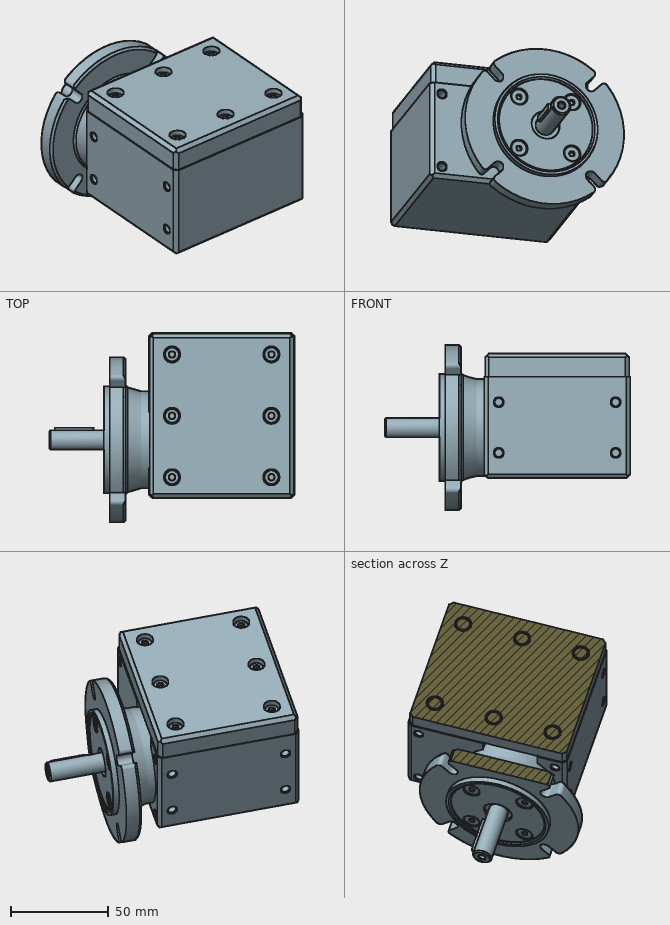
import cadquery as cq
import math


PILOT_FRONT = 28.0
FLANGE_FRONT = 31.0
FLANGE_BACK = 39.25
NECK_COLLAR_END = 40.2
NECK_FLARE_END = 47.0
HOUSING_FRONT = 51.0

MOUTH_TAPER = 45.0

HOUSING_LENGTH = 75.0
HOUSING_WIDTH = 85.0
HOUSING_HEIGHT = 52.0
HOUSING_Y_MIN = -30.0
HOUSING_TOP = HOUSING_HEIGHT / 2
LID_LENGTH = 74.0
LID_WIDTH = 84.0
LID_MID_Y = 12.3
LID_THICKNESS = 12.0
LID_TOP = HOUSING_TOP + LID_THICKNESS
EDGE_CHAMFER = 2.0
HOUSING_MID_X = HOUSING_FRONT + HOUSING_LENGTH / 2
HOUSING_MID_Y = HOUSING_Y_MIN + HOUSING_WIDTH / 2
NOTCH_WIDTH = 29.0
NOTCH_FLOOR = 20.0
NOTCH_DEPTH = 5.0

TAP_DIAMETER = 4.2
TAP_CHAMFER = 0.5
TAP_DEPTH = 10.0
SIDE_TAP_SPACING_X = 60.0
SIDE_TAP_SPACING_Z = 26.0
FRONT_TAP_SPACING_Y = 73.0
FRONT_TAP_SPACING_Z = 40.0

SOCKET_MOUTH_DEPTH = 0.25

LID_SCREW_SPACING_X = 51.0
LID_SCREW_PITCH_Y = 31.5
LID_SCREW_ROWS = 3
LID_BORE_DIAMETER = 8.4
LID_BORE_DEPTH = 6.2
LID_HEAD_DIAMETER = 7.0
LID_HEAD_HEIGHT = 4.0
LID_HEAD_ROUND = 0.5
LID_HEX_SIZE = 3.0
LID_HEX_DEPTH = 2.0

FLANGE_DIAMETER = 85.0
SLOT_COUNT = 4
SLOT_CIRCLE_DIAMETER = 70.0
SLOT_WIDTH = 5.5
SLOT_CORNER_RADIUS = 2.0
FLANGE_BACK_CHAMFER = 1.2
PILOT_DIAMETER = 55.0
COLLAR_RADIUS = 27.9
FLARE_RADIUS = 27.0
NECK_DIAMETER = 50.0

RECESS_MOUTH_DIAMETER = 52.0
RECESS_DIAMETER = 50.0
RECESS_DEPTH = 1.0
RECESS_MOUTH_DEPTH = 0.5
SEAL_BORE_DIAMETER = 15.0
SEAL_BORE_DEPTH = 1.5
FACE_SCREW_CIRCLE_DIAMETER = 40.0
COUNTERSINK_DIAMETER = 9.0
FACE_SCREW_HEAD_DIAMETER = 8.0
FACE_SCREW_HEX_SIZE = 2.5
FACE_SCREW_HEX_DEPTH = 1.5

SHAFT_DIAMETER = 10.0
SHAFT_CHAMFER = 0.75
CENTRE_HOLE_DIAMETER = 3.3
CENTRE_HOLE_MOUTH_DIAMETER = 4.2
CENTRE_HOLE_DEPTH = 10.0
DRILL_TIP_ANGLE = 118.0
KEY_WIDTH = 3.0
KEY_LENGTH = 20.0
KEY_START = 2.75
KEY_TOP = 6.2


def cylinder_x(x_start, x_end, diameter):
    """Cylinder on the shaft axis from x_start to x_end."""
    return (
        cq.Workplane("YZ", origin=(x_start, 0, 0))
        .circle(diameter / 2)
        .extrude(x_end - x_start)
    )


def hexagon_sockets(screws, across_flats, depth):
    """Hexagon recess with a conical mouth at each workplane point; the sign of depth is its direction."""
    corner_diameter = across_flats / math.cos(math.pi / 6)
    mouth_depth = math.copysign(SOCKET_MOUTH_DEPTH, depth)
    sockets = screws.polygon(6, corner_diameter).extrude(depth)
    mouths = screws.circle(corner_diameter / 2).extrude(mouth_depth, taper=MOUTH_TAPER)
    return sockets.union(mouths)


def chamfered_block(length, width, height, origin, outer_end):
    """Block with chamfered upright edges, and chamfers mitred around the end face picked by outer_end."""
    block = cq.Workplane("XY", origin=origin).rect(length, width).extrude(height)
    end_chamfered = block.faces(outer_end).edges().chamfer(EDGE_CHAMFER)
    sides_chamfered = block.edges("|Z").chamfer(EDGE_CHAMFER)
    return end_chamfered.intersect(sides_chamfered)


def make_housing():
    """Housing block, open at the top of its front wall where the neck enters."""
    bottom = (HOUSING_MID_X, HOUSING_MID_Y, -HOUSING_HEIGHT / 2)
    block = chamfered_block(HOUSING_LENGTH, HOUSING_WIDTH, HOUSING_HEIGHT, bottom, "<Z")
    notch = (
        cq.Workplane("XY", origin=(HOUSING_FRONT + NOTCH_DEPTH / 2, 0, NOTCH_FLOOR))
        .rect(NOTCH_DEPTH, NOTCH_WIDTH)
        .extrude(HOUSING_TOP - NOTCH_FLOOR)
    )
    return block.cut(notch)


def make_lid():
    bottom = (HOUSING_MID_X, LID_MID_Y, HOUSING_TOP)
    return chamfered_block(LID_LENGTH, LID_WIDTH, LID_THICKNESS, bottom, ">Z")


def make_lid_screw_recesses():
    """Annular gap and hexagon socket of each cap screw sunk in the lid."""
    def at_screws(height):
        return cq.Workplane("XY", origin=(HOUSING_MID_X, LID_MID_Y, height)).rarray(
            LID_SCREW_SPACING_X, LID_SCREW_PITCH_Y, 2, LID_SCREW_ROWS
        )

    bore_floor = LID_TOP - LID_BORE_DEPTH
    head_top = bore_floor + LID_HEAD_HEIGHT
    bores = at_screws(bore_floor).circle(LID_BORE_DIAMETER / 2).extrude(LID_BORE_DEPTH)
    heads = at_screws(bore_floor).circle(LID_HEAD_DIAMETER / 2).extrude(LID_HEAD_HEIGHT)
    heads = heads.faces(">Z").edges().fillet(LID_HEAD_ROUND)
    sockets = hexagon_sockets(at_screws(head_top), LID_HEX_SIZE, -LID_HEX_DEPTH)
    return bores.cut(heads).union(sockets)


def make_taps(plane, spacing_u, spacing_z):
    """Four blind holes with chamfered mouths, drilled against the normal of the plane."""
    taps = plane.rarray(spacing_u, spacing_z, 2, 2).circle(TAP_DIAMETER / 2).extrude(-TAP_DEPTH)
    mouths = (
        plane.rarray(spacing_u, spacing_z, 2, 2)
        .circle(TAP_DIAMETER / 2 + TAP_CHAMFER)
        .extrude(-TAP_CHAMFER, taper=MOUTH_TAPER)
    )
    return taps.union(mouths)


def make_side_taps():
    plane = cq.Workplane("XZ", origin=(HOUSING_MID_X, HOUSING_Y_MIN, 0))
    return make_taps(plane, SIDE_TAP_SPACING_X, SIDE_TAP_SPACING_Z)


def make_front_taps():
    front = cq.Plane(origin=(HOUSING_FRONT, HOUSING_MID_Y, 0), xDir=(0, -1, 0), normal=(-1, 0, 0))
    return make_taps(cq.Workplane(front), FRONT_TAP_SPACING_Y, FRONT_TAP_SPACING_Z)


def make_flange():
    """Disc with a chamfered back rim and open slots whose corners at the rim are rounded."""
    flange = cylinder_x(FLANGE_FRONT, FLANGE_BACK, FLANGE_DIAMETER)
    flange = flange.faces(">X").edges().chamfer(FLANGE_BACK_CHAMFER)
    slot_inner = SLOT_CIRCLE_DIAMETER / 2
    slot_outer = FLANGE_DIAMETER / 2 + SLOT_WIDTH
    thickness = FLANGE_BACK - FLANGE_FRONT
    slot = (
        cq.Workplane("YZ", origin=(FLANGE_FRONT, 0, 0))
        .center((slot_inner + slot_outer) / 2, 0)
        .slot2D(slot_outer - slot_inner + SLOT_WIDTH, SLOT_WIDTH)
        .extrude(thickness)
    )
    for slot_number in range(SLOT_COUNT):
        angle = (slot_number + 0.5) * 360 / SLOT_COUNT
        flange = flange.cut(slot.rotate((0, 0, 0), (1, 0, 0), angle))
    corner_min_radius = FLANGE_DIAMETER / 2 - SLOT_CORNER_RADIUS
    corner_edges = [
        edge
        for edge in flange.edges("|X").vals()
        if math.hypot(edge.Center().y, edge.Center().z) > corner_min_radius
    ]
    return flange.newObject(corner_edges).fillet(SLOT_CORNER_RADIUS)


def make_neck():
    """Collar behind the flange that flares down to the neck entering the housing."""
    neck_radius = NECK_DIAMETER / 2
    neck_end = HOUSING_FRONT + NOTCH_DEPTH
    return (
        cq.Workplane("XY")
        .moveTo(FLANGE_FRONT, 0)
        .lineTo(FLANGE_FRONT, COLLAR_RADIUS)
        .lineTo(FLANGE_BACK, COLLAR_RADIUS)
        .lineTo(NECK_COLLAR_END, FLARE_RADIUS)
        .lineTo(NECK_FLARE_END, neck_radius)
        .lineTo(neck_end, neck_radius)
        .lineTo(neck_end, 0)
        .close()
        .revolve(360, (0, 0, 0), (1, 0, 0))
    )


def make_pilot():
    """Pilot ring around a recessed face that carries four countersunk screws and the shaft seal bore."""
    recess_floor = PILOT_FRONT + RECESS_DEPTH
    pilot = cylinder_x(PILOT_FRONT, FLANGE_FRONT, PILOT_DIAMETER)
    recess = cylinder_x(PILOT_FRONT, recess_floor, RECESS_DIAMETER)
    recess_mouth = cq.Workplane(obj=cq.Solid.makeCone(
        RECESS_MOUTH_DIAMETER / 2,
        RECESS_DIAMETER / 2,
        RECESS_MOUTH_DEPTH,
        pnt=cq.Vector(PILOT_FRONT, 0, 0),
        dir=cq.Vector(1, 0, 0),
    ))
    seal_bore = cylinder_x(recess_floor, recess_floor + SEAL_BORE_DEPTH, SEAL_BORE_DIAMETER)
    offset = FACE_SCREW_CIRCLE_DIAMETER / 2 * math.sqrt(0.5)

    def at_screws(x):
        return cq.Workplane("YZ", origin=(x, 0, 0)).rarray(2 * offset, 2 * offset, 2, 2)

    countersink_depth = (COUNTERSINK_DIAMETER - FACE_SCREW_HEAD_DIAMETER) / 2
    countersinks = (
        at_screws(recess_floor)
        .circle(COUNTERSINK_DIAMETER / 2)
        .extrude(countersink_depth, taper=MOUTH_TAPER)
    )
    screw_tops = at_screws(recess_floor + countersink_depth)
    sockets = hexagon_sockets(screw_tops, FACE_SCREW_HEX_SIZE, FACE_SCREW_HEX_DEPTH)
    pilot = pilot.cut(recess).cut(recess_mouth).cut(seal_bore)
    return pilot.cut(countersinks).cut(sockets)


def make_shaft():
    """Shaft with a centre hole in its tip and a round-ended key standing up on the +Y side."""
    shaft = cylinder_x(0, FLANGE_FRONT, SHAFT_DIAMETER).faces("<X").chamfer(SHAFT_CHAMFER)
    hole_radius = CENTRE_HOLE_DIAMETER / 2
    mouth_radius = CENTRE_HOLE_MOUTH_DIAMETER / 2
    tip_length = hole_radius / math.tan(math.radians(DRILL_TIP_ANGLE / 2))
    centre_hole = (
        cq.Workplane("XY")
        .polyline([
            (0, 0),
            (0, mouth_radius),
            (mouth_radius - hole_radius, hole_radius),
            (CENTRE_HOLE_DEPTH, hole_radius),
            (CENTRE_HOLE_DEPTH + tip_length, 0),
        ])
        .close()
        .revolve(360, (0, 0, 0), (1, 0, 0))
    )
    key = (
        cq.Workplane("XZ", origin=(KEY_START + KEY_LENGTH / 2, 0, 0))
        .slot2D(KEY_LENGTH, KEY_WIDTH)
        .extrude(-KEY_TOP)
    )
    return shaft.union(key).cut(centre_hole)


housing = make_housing().cut(make_side_taps()).cut(make_front_taps())
lid = make_lid().cut(make_lid_screw_recesses())
result = (
    housing.union(lid)
    .union(make_neck())
    .union(make_flange())
    .union(make_pilot())
    .union(make_shaft())
)